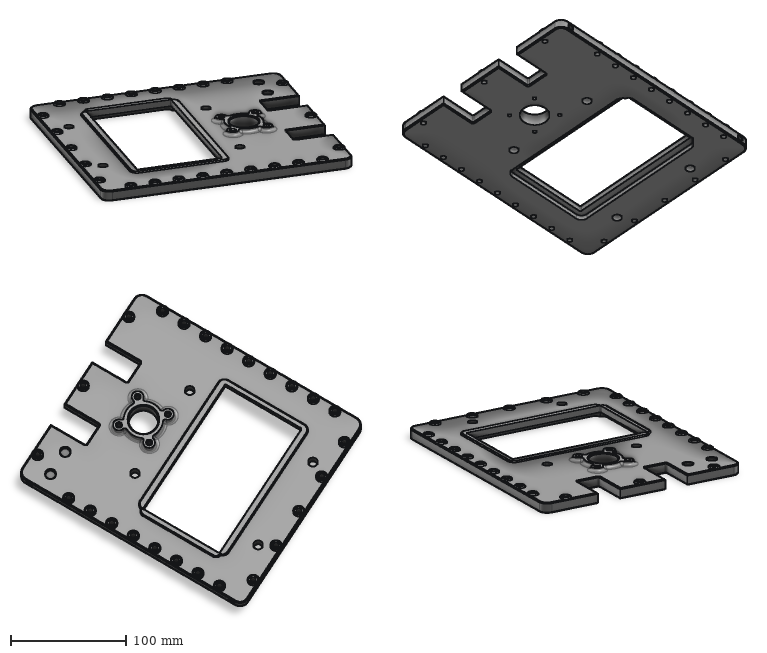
import cadquery as cq
import math

plate_width = 200.0
plate_length = 230.0
plate_thickness = 10.0
part_height = 13.0
plate_corner_radius = 8.0
edge_chamfer = 1.0

notch_width = 22.0
notch_depth = 35.9
notch_offset = 34.0
notch_corner_radius = 1.2

boss_height = 1.26
boss_base_radius = 5.0
boss_top_radius = 4.0
boss_taper = math.degrees(math.atan2(boss_base_radius - boss_top_radius, boss_height))
boss_hole_radius = 2.3
side_boss_x = 95.0
side_boss_last_y = 87.9
side_boss_pitch = side_boss_last_y / 4
end_boss_y = 110.0
end_boss_pitch = 37.5

window_width = 135.5
window_length = 78.0
window_x = -1.8
window_y = -33.1
window_corner_radius = 1.0
rim_height = boss_height
rim_slope_run = 1.0
rim_taper = math.degrees(math.atan2(rim_slope_run, rim_height))
rim_half_width = 70.8
rim_length = 90.6
rim_corner_radius = 6.5
rim_step_left_x = -75.0
rim_step_length = 81.5
rim_step_corner_radius = 5.0
recess_depth = 5.0

flange_y = 48.5
flange_radius = 17.0
flange_bore_radius = 12.9
flange_bore_chamfer = 1.0
ear_offset = 15.5
ear_radius = 5.0
ear_centres = [(x * ear_offset, flange_y + y * ear_offset) for x in (-1, 1) for y in (-1, 1)]
ear_hole_radius = 1.5
ear_hole_chamfer = 1.2
ear_blend_radius = 2.0
flange_root_fillet = 3.7
trim_allowance = 1.2

mount_hole_radius = 4.1
mount_hole_x = 45.0
mount_hole_rows = (29.2, -96.4)

pocket_depth = 3.5
pocket_chamfer = 0.5
top_pocket_radius = 4.4
top_pocket_centres = ((-84.2, 91.0), (-60.0, 91.0))
side_pocket_radius = 2.5
side_pocket_y = 103.0


def cylinders(centres, radius, bottom, top):
    return cq.Workplane("XY").workplane(offset=bottom).pushPoints(centres).circle(radius).extrude(top - bottom)


def make_plate():
    plate = (
        cq.Workplane("XY")
        .rect(plate_width, plate_length)
        .extrude(plate_thickness)
        .edges("|Z")
        .fillet(plate_corner_radius)
    )
    notches = (
        cq.Workplane("XY")
        .pushPoints([(side * notch_offset, plate_length / 2) for side in (-1, 1)])
        .rect(notch_width, 2 * notch_depth)
        .extrude(plate_thickness)
        .edges("|Z and <Y")
        .fillet(notch_corner_radius)
    )
    return plate.cut(notches).faces("<Z or >Z").chamfer(edge_chamfer)


def box_around_flange(half_side, bottom, top):
    return cq.selectors.BoxSelector(
        (-half_side, flange_y - half_side, bottom),
        (half_side, flange_y + half_side, top),
    )


def add_flange(plate):
    """Add a ring with four ears, blended into the plate by a fillet along its root.

    The root fillet is larger than the flange is high, so the flange is built too tall,
    filleted, and then cut flat at the part height.
    """
    rough_top = plate_thickness + flange_root_fillet + trim_allowance
    ring = cylinders([(0, flange_y)], flange_radius, plate_thickness, rough_top)
    ears = cylinders(ear_centres, ear_radius, plate_thickness, rough_top)
    ear_corners = box_around_flange(ear_offset, plate_thickness, rough_top)
    flange = ring.union(ears).edges("|Z").edges(ear_corners).fillet(ear_blend_radius)
    root = box_around_flange(ear_offset + ear_radius, plate_thickness - 0.2, plate_thickness + 0.2)
    blended = plate.union(flange).edges(root).fillet(flange_root_fillet)
    trim = cq.Workplane("XY", origin=(0, 0, part_height)).rect(plate_width, plate_length).extrude(rough_top)
    return blended.cut(trim)


def window_surround(bottom, height, taper):
    """Rounded rectangle with a shorter step on its -X side, extruded with walls leaning inwards."""
    blocks = []
    for left_x, right_x, length, corner_radius in (
        (-rim_half_width, rim_half_width, rim_length, rim_corner_radius),
        (rim_step_left_x, 0, rim_step_length, rim_step_corner_radius),
    ):
        outline = cq.Sketch().rect(right_x - left_x, length).vertices().fillet(corner_radius)
        centre_x = (left_x + right_x) / 2
        plane = cq.Workplane("XY", origin=(centre_x, window_y, bottom))
        blocks.append(plane.placeSketch(outline).extrude(height, taper=taper))
    main_block, step_block = blocks
    return main_block.union(step_block)


def boss_centres():
    left = [(-side_boss_x, side_boss_pitch * step) for step in range(-4, 4)]
    right = [(side_boss_x, side_boss_pitch * step) for step in range(-4, 5)]
    front = [(end_boss_pitch * step, -end_boss_y) for step in range(-2, 3)]
    back = [(end_boss_pitch * step, end_boss_y) for step in (-2, 0, 2)]
    return left + right + front + back


def make_bosses(centres):
    """Conical bosses whose straight feet reach down past the plate's chamfered edge."""
    foot = plate_thickness - edge_chamfer
    feet = cylinders(centres, boss_base_radius, foot, plate_thickness)
    cones = (
        cq.Workplane("XY", origin=(0, 0, plate_thickness))
        .pushPoints(centres)
        .circle(boss_base_radius)
        .extrude(boss_height, taper=boss_taper)
    )
    return feet.union(cones)


def chamfered_hole(plane, centres, radius, depth, chamfer):
    """Cutter for round holes that run against the plane's normal, with 45 degree chamfered mouths."""
    bore = plane.pushPoints(centres).circle(radius).extrude(-depth)
    mouth = plane.pushPoints(centres).circle(radius + chamfer).extrude(-chamfer, taper=45)
    return bore.union(mouth)


def window_cutter():
    return (
        cq.Workplane("XY", origin=(window_x, window_y, 0))
        .rect(window_width, window_length)
        .extrude(part_height)
        .edges("|Z")
        .fillet(window_corner_radius)
    )


screw_bosses = boss_centres()
mount_holes = [(side * mount_hole_x, y) for side in (-1, 1) for y in mount_hole_rows]
side_pocket_centres = [(side * side_pocket_y, plate_thickness / 2) for side in (-1, 1)]

flange_face = cq.Workplane("XY", origin=(0, 0, part_height))
plate_face = cq.Workplane("XY", origin=(0, 0, plate_thickness))
side_face = cq.Workplane(cq.Plane(origin=(-plate_width / 2, 0, 0), xDir=(0, -1, 0), normal=(-1, 0, 0)))

result = add_flange(make_plate())

result = result.union(window_surround(plate_thickness, rim_height, rim_taper))
result = result.union(make_bosses(screw_bosses))

result = result.cut(window_cutter())
result = result.cut(window_surround(0, recess_depth, 0))

result = result.cut(cylinders(screw_bosses, boss_hole_radius, 0, part_height))
result = result.cut(cylinders(mount_holes, mount_hole_radius, 0, plate_thickness))
result = result.cut(
    chamfered_hole(flange_face, [(0, flange_y)], flange_bore_radius, part_height, flange_bore_chamfer)
)
result = result.cut(chamfered_hole(flange_face, ear_centres, ear_hole_radius, part_height, ear_hole_chamfer))

result = result.cut(
    chamfered_hole(plate_face, top_pocket_centres, top_pocket_radius, pocket_depth, pocket_chamfer)
)
result = result.cut(
    chamfered_hole(side_face, side_pocket_centres, side_pocket_radius, pocket_depth, pocket_chamfer)
)